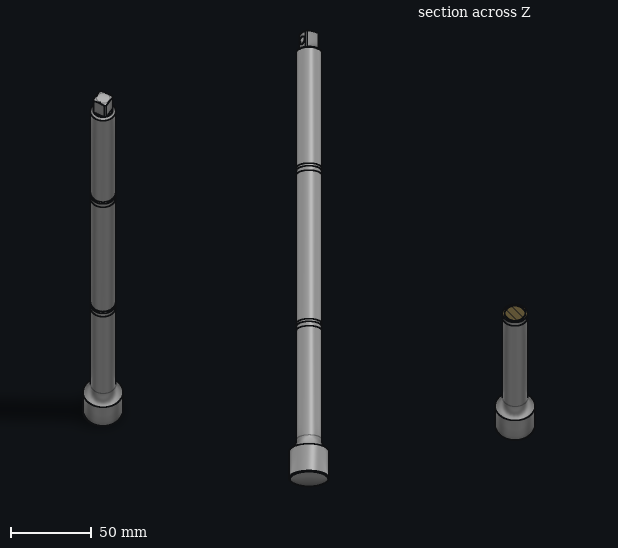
import cadquery as cq
import math

total_length = 300.3
shaft_radius = 7.95

head_radius = 12.45
head_bottom_chamfer = 0.5
head_cylinder_top = 18.5
flare_top = 26.7

lower_joint = 100.0
upper_joint = 204.8

ring_outer_radius = 7.8
ring_inner_radius = 6.5
ring_height = 1.8
ring_offset = 3.0

drive_width = 9.5
drive_corner_radius = 6.15
drive_tip_radius = 4.2
drive_tip_height = 0.5
drive_base = 289.0
shaft_chamfer_height = 1.2

nub_radius = 3.0
nub_reach = 6.3
nub_height = 294.5


def turned(profile):
    """Revolve a closed half profile (radius, height) around the Z axis."""
    return profile.close().revolve(360, (0, 0, 0), (0, 1, 0))


def make_ring(joint):
    """Ring that sits a short way above a joint."""
    return (
        cq.Workplane("XY")
        .workplane(offset=joint + ring_offset)
        .circle(ring_outer_radius)
        .circle(ring_inner_radius)
        .extrude(ring_height)
    )


def make_head_segment():
    """Socket head that flares in one concave arc into the lowest part of the shaft."""
    flare_width = head_radius - shaft_radius
    flare_height = flare_top - head_cylinder_top
    flare_radius = (flare_width**2 + flare_height**2) / (2 * flare_width)
    half_sweep = math.asin(flare_height / flare_radius) / 2
    flare_middle = (
        shaft_radius + flare_radius * (1 - math.cos(half_sweep)),
        flare_top - flare_radius * math.sin(half_sweep),
    )
    return turned(
        cq.Workplane("XZ")
        .lineTo(head_radius - head_bottom_chamfer, 0)
        .lineTo(head_radius, head_bottom_chamfer)
        .lineTo(head_radius, head_cylinder_top)
        .threePointArc(flare_middle, (shaft_radius, flare_top))
        .lineTo(shaft_radius, lower_joint)
        .lineTo(0, lower_joint)
    )


def make_middle_segment():
    """Plain length of shaft between the two joints, with the cavity for its ring."""
    shaft = cq.Workplane("XY").workplane(offset=lower_joint).circle(shaft_radius)
    return shaft.extrude(upper_joint - lower_joint).cut(make_ring(lower_joint))


def make_drive():
    """Square drive with rounded corners, a bevelled tip and the detent nub."""
    square = (
        cq.Workplane("XY")
        .workplane(offset=drive_base)
        .rect(drive_width, drive_width)
        .extrude(total_length - drive_base)
    )
    envelope = turned(
        cq.Workplane("XZ")
        .moveTo(0, drive_base)
        .lineTo(drive_corner_radius, drive_base)
        .lineTo(drive_corner_radius, total_length - drive_tip_height)
        .lineTo(drive_tip_radius, total_length)
        .lineTo(0, total_length)
    )
    nub = cq.Workplane("XY").sphere(nub_radius).translate((0, nub_reach - nub_radius, nub_height))
    return square.intersect(envelope).union(nub)


def make_drive_segment():
    """Top length of shaft, chamfered in at its end to the drive, with the cavity for its ring."""
    shaft = turned(
        cq.Workplane("XZ")
        .moveTo(0, upper_joint)
        .lineTo(shaft_radius, upper_joint)
        .lineTo(shaft_radius, drive_base - shaft_chamfer_height)
        .lineTo(drive_corner_radius, drive_base)
        .lineTo(0, drive_base)
    )
    return shaft.union(make_drive()).cut(make_ring(upper_joint))


head_segment = make_head_segment()
middle_segment = make_middle_segment()
drive_segment = make_drive_segment()
rings = [make_ring(joint).val() for joint in (lower_joint, upper_joint)]

result = cq.Compound.makeCompound([head_segment.val(), middle_segment.val(), drive_segment.val(), *rings])